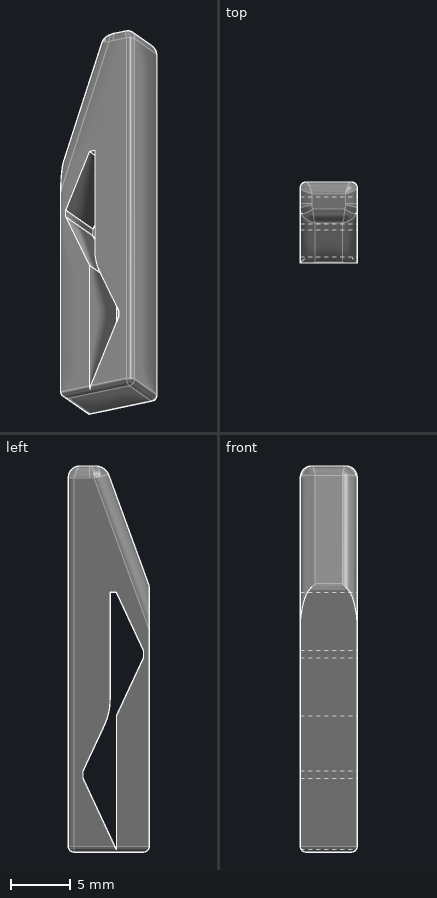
import cadquery as cq
import math

WIDTH = 4.826
DEPTH = 6.858
HEIGHT = 32.63

SLOPE_ANGLE = 20.0
SLOPE_DROP = 10.16

SLOPE_RADIUS = 1.27
TOP_RADIUS = 1.016
BASE_RADIUS = 0.508

SLOT_FRONT = 2.794
SLOT_GAP = 0.508
SLOT_TOP_DROP = 10.70
SLOT_BOTTOM = 0.254
SLOT_ANGLE = 25.0
NOTCH_FLAT = 0.61
FRONT_NOTCH_WALL = 0.508
BACK_NOTCH_WALL = 1.27
SLOT_BLEND_RADIUS = 5.08


def make_body():
    """Block with its upper front sloped back toward the top face."""
    bend_z = HEIGHT - SLOPE_DROP
    top_front_y = SLOPE_DROP * math.tan(math.radians(SLOPE_ANGLE))
    outline = [
        (0, 0),
        (DEPTH, 0),
        (DEPTH, HEIGHT),
        (top_front_y, HEIGHT),
        (0, bend_z),
    ]
    return cq.Workplane("YZ").polyline(outline).close().extrude(WIDTH / 2, both=True)


def round_slope(body):
    """Round the slope: its long side edges, its top edge and the bend into the front face."""
    slope = math.radians(SLOPE_ANGLE)
    slope_direction = cq.Vector(0, math.sin(slope), math.cos(slope))
    bend = cq.selectors.NearestToPointSelector((0, 0, HEIGHT - SLOPE_DROP))

    sides_and_top = body.edges(cq.selectors.ParallelDirSelector(slope_direction)).add(
        body.faces(">Z").edges("<Y")
    )
    side_rounded = sides_and_top.fillet(SLOPE_RADIUS)
    bend_rounded = body.edges(bend).fillet(SLOPE_RADIUS)
    return side_rounded.intersect(bend_rounded)


def round_ends(body):
    """Round the vertical back edges, the rest of the top rim and the bottom rim."""
    body = body.faces(">Y").edges("|Z").fillet(BASE_RADIUS)
    body = body.faces(">Z").edges("not <Y").fillet(TOP_RADIUS)
    return body.faces("<Z").edges().fillet(BASE_RADIUS)


def make_slot():
    """Cutter for the slot: an upper notch to the front and a lower notch to the back."""
    rise_per_depth = 1 / math.tan(math.radians(SLOT_ANGLE))
    back = SLOT_FRONT + SLOT_GAP
    top = HEIGHT - SLOT_TOP_DROP

    front_tip = FRONT_NOTCH_WALL
    front_rise = (SLOT_FRONT - front_tip) * rise_per_depth
    front_tip_top = top - front_rise
    front_tip_bottom = front_tip_top - NOTCH_FLAT

    back_tip = DEPTH - BACK_NOTCH_WALL
    back_tip_bottom = SLOT_BOTTOM + (back_tip - SLOT_FRONT) * rise_per_depth
    back_tip_top = back_tip_bottom + NOTCH_FLAT

    turn = math.radians(SLOT_ANGLE)
    crest_z = back_tip_top + (back_tip - back) * rise_per_depth
    tangent_length = SLOT_BLEND_RADIUS * math.tan(turn / 2)
    arc_top_z = crest_z + tangent_length
    arc_center_y = back + SLOT_BLEND_RADIUS

    def arc_point(angle):
        return (
            arc_center_y - SLOT_BLEND_RADIUS * math.cos(angle),
            arc_top_z - SLOT_BLEND_RADIUS * math.sin(angle),
        )

    return (
        cq.Workplane("YZ")
        .moveTo(SLOT_FRONT, top)
        .lineTo(front_tip, front_tip_top)
        .lineTo(front_tip, front_tip_bottom)
        .lineTo(SLOT_FRONT, front_tip_bottom - front_rise)
        .lineTo(SLOT_FRONT, SLOT_BOTTOM)
        .lineTo(back_tip, back_tip_bottom)
        .lineTo(back_tip, back_tip_top)
        .lineTo(*arc_point(turn))
        .threePointArc(arc_point(turn / 2), arc_point(0))
        .lineTo(back, top)
        .close()
        .extrude(WIDTH, both=True)
    )


result = round_ends(round_slope(make_body())).cut(make_slot())